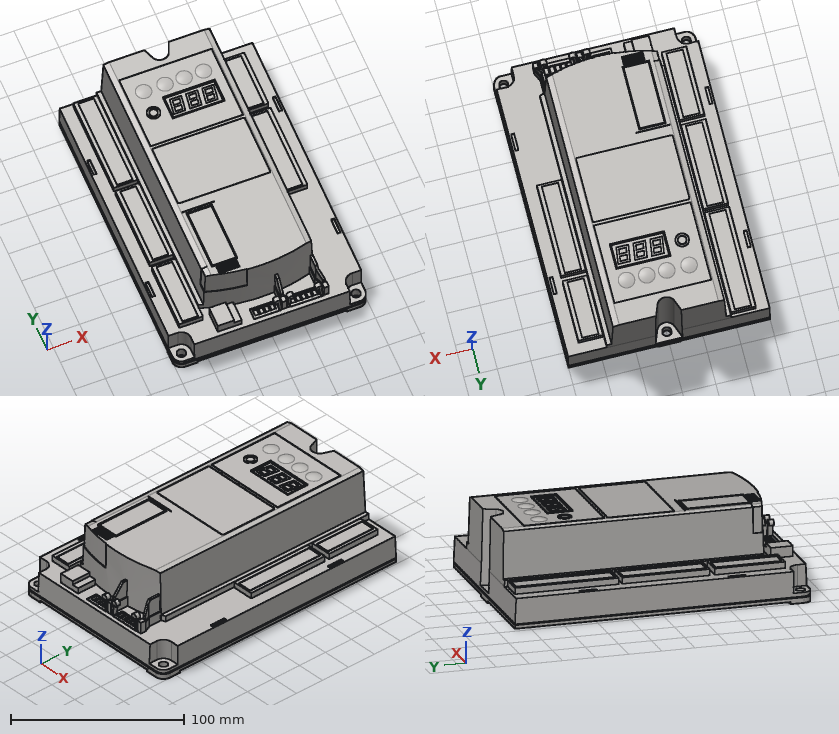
import cadquery as cq
import math

WIDTH = 120.0
LENGTH = 180.0
HEIGHT = 53.3
HALF_WIDTH = WIDTH / 2
HALF_LENGTH = LENGTH / 2

FOOT_HEIGHT = 1.3
SEAM_Z = 3.5
SEAM_HEIGHT = 0.5
SEAM_DEPTH = 0.4
LEDGE_Z = 6.5
BASE_TOP = 19.6
BASE_DRAFT = 0.7

MOUNT_X = 54.4
MOUNT_Y = 84.2
MOUNT_HOLE_D = 5.4
CORNER_RADIUS = HALF_WIDTH - MOUNT_X
LEDGE_RADIUS = 6.0
FOOT_SIZE = 13.5
ROUND_FOOT_D = 5.4
ROUND_FOOT_X = 39.6
ROUND_FOOT_Y = 8.0

SHOULDER_HALF_WIDTH = 37.0
SHOULDER_TOP = 23.4
HOUSING_HALF_WIDTH = 34.2
HOUSING_TOP = 52.7
HOUSING_DRAFT = 1.3
HOUSING_BACK = HALF_LENGTH - BASE_DRAFT
BEVEL_Z = 51.8
BEVEL_OUTER = 33.1
BEVEL_INNER = 29.5
PLAN_MARGIN = 1.8
PLAN_HALF_WIDTH = SHOULDER_HALF_WIDTH + PLAN_MARGIN
BOW_APEX_Y = -73.8
BOW_SAG = 6.5
BOW_RADIUS = (SHOULDER_HALF_WIDTH**2 + BOW_SAG**2) / (2 * BOW_SAG)

NOTCH_MOUTH = 8.1
NOTCH_THROAT = 4.9
NOTCH_THROAT_Y = 81.5
NOTCH_END_Y = 78.7

BLOCK_WIDTH = 14.8
BLOCK_INNER_X = 37.5
LEFT_BLOCKS = [(87.5, 25.0), (22.7, -30.0), (-33.1, -75.6)]
RIGHT_BLOCKS = [(82.6, 45.2), (42.0, -14.8)]
LABEL_WIDTH = 9.7
LABEL_END_MARGIN = 1.3
LABEL_DEPTH = 0.4

SIDE_SLOT_X = 57.8
SIDE_SLOT_WIDTH = 1.8
SIDE_SLOT_LENGTH = 10.3
SIDE_SLOT_DEPTH = 1.0
SIDE_SLOT_CENTERS = [45.2, -44.8]

PANEL_HALF_WIDTH = 28.8
PANEL_DEPTH = 0.4
PANEL_FLOOR = HOUSING_TOP - PANEL_DEPTH
CONTROL_PANEL = (74.9, 26.3)
BLANK_PANEL = (24.3, -16.0)
BLANK_PANEL_CORNER = 0.9

BUTTON_D = 9.5
BUTTON_Y = 62.8
BUTTON_CENTERS = [-18.5, -5.2, 6.7, 18.7]
LAMP_X = -18.5
LAMP_Y = 47.2
LAMP_RING_D = 8.0
LAMP_D = 5.0
LAMP_GROOVE_DEPTH = 0.5

DISPLAY_X = 6.5
DISPLAY_Y = 47.2
DISPLAY_WIDTH = 32.4
DISPLAY_LENGTH = 15.5
DISPLAY_STEP = 0.7
DISPLAY_STEP_DEPTH = 0.4
DISPLAY_STEPS = 2
DIGIT_PITCH = 10.0
DIGIT_WIDTH = 7.2
DIGIT_LENGTH = 10.0
DIGIT_SLANT = 1.5
STROKE = 1.5
DIGIT_HEIGHT = 0.2

DOOR_RIGHT = -8.8
DOOR_LEFT_Y = -62.1
DOOR_BOTTOM = 36.2
DOOR_RECESS = 0.4
DOOR_SEAM_Y = -22.5
DOOR_SEAM_WIDTH = 0.2
WINDOW = (-26.8, -11.0, -63.2, -24.0)
WINDOW_GROOVE = 0.5
WINDOW_DEPTH = 0.5
GRIP = (-24.5, -12.0, -69.1, -63.7)
GRIP_PITCH = 0.9
GRIP_GROOVE = 0.45
GRIP_DEPTH = 0.4

SOCKET_LEFT = -32.5
SOCKET_STEP_X = -22.3
SOCKET_RIGHT = -17.6
SOCKET_BACK = -73.0
FRONT_ROW_Y = -86.4
SOCKET_TOP = 26.0
HEADER_BACK = -79.2
HEADER_HEIGHT = 0.4
HEADERS = [(-9.9, 6.5, 4), (13.0, 33.5, 5)]
CELL_PITCH = 3.5
CELL_SIZE = 2.7
CELL_MARGIN = 1.5
CELL_LENGTH = 4.5
CELL_BACK_MARGIN = 0.7
CELL_DEPTH = 1.8

MIDDLE_FIN_X = 9.2
SIDE_FIN_X = 33.0
SIDE_FIN_TOE_SHIFT = 2.3
SIDE_HOOK_X = 32.4
FIN_THICKNESS = 1.6
FIN_TOP = 37.0
FIN_CREST_Y = -76.0
FIN_BEND_Y = -77.4
FIN_ROOT_Y = -68.4
POST_BACK = -82.3
POST_FRONT = -86.0
POST_WIDTH = 2.9
POST_TOP = 27.2
RIB_TOP = SOCKET_TOP
FIN_TOE_Z = 29.3
HOOK_BACK = -83.0
HOOK_TOP = 30.2
HOOK_GAP = 2.5
HOOK_STEM = 1.5
HOOK_LEAN = 0.7
BARB_REACH = 3.2
BARB_HEIGHT = 3.2


def block(x0, x1, y0, y1, z0, z1):
    """Box between two opposite corners."""
    return cq.Workplane("XY").box(x1 - x0, y1 - y0, z1 - z0, centered=False).translate((x0, y0, z0))


def bow_y(x):
    """Y of the bowed housing front at a given X."""
    return BOW_APEX_Y + BOW_RADIUS - math.sqrt(BOW_RADIUS**2 - x**2)


def rounded_slab(z0, z1, inset=0):
    """Full-size slab with rounded front corners, optionally shrunk inward."""
    x = HALF_WIDTH - inset
    y = HALF_LENGTH - inset
    return block(-x, x, -y, y, z0, z1).edges("|Z and <Y").fillet(CORNER_RADIUS - inset)


def make_base():
    seam_top = SEAM_Z + SEAM_HEIGHT
    top_half = HALF_LENGTH - BASE_DRAFT
    side_profile = (
        cq.Workplane("YZ", origin=(-HALF_WIDTH, 0, 0))
        .polyline(
            [
                (-HALF_LENGTH, FOOT_HEIGHT),
                (HALF_LENGTH, FOOT_HEIGHT),
                (HALF_LENGTH, seam_top),
                (top_half, BASE_TOP),
                (-top_half, BASE_TOP),
                (-HALF_LENGTH, seam_top),
            ]
        )
        .close()
        .extrude(WIDTH)
    )
    base = rounded_slab(FOOT_HEIGHT, BASE_TOP).intersect(side_profile)
    base = base.cut(rounded_slab(SEAM_Z, seam_top).cut(rounded_slab(SEAM_Z, seam_top, SEAM_DEPTH)))

    ledge_x = MOUNT_X - LEDGE_RADIUS
    ledge_y = MOUNT_Y - LEDGE_RADIUS
    relief = block(ledge_x, HALF_WIDTH, -HALF_LENGTH, -ledge_y, LEDGE_Z, BASE_TOP)
    relief = relief.edges("|Z and <X and >Y").fillet(LEDGE_RADIUS)
    return base.cut(relief).cut(relief.mirror("YZ"))


def make_feet():
    inner_x = HALF_WIDTH - FOOT_SIZE
    inner_y = HALF_LENGTH - FOOT_SIZE
    corner = block(inner_x, HALF_WIDTH, -HALF_LENGTH, -inner_y, 0, FOOT_HEIGHT)
    corner = corner.edges("|Z and >X and <Y").fillet(CORNER_RADIUS)
    back = block(-FOOT_SIZE / 2, FOOT_SIZE / 2, inner_y, HALF_LENGTH, 0, FOOT_HEIGHT)
    pads = (
        cq.Workplane("XY")
        .pushPoints([(-ROUND_FOOT_X, ROUND_FOOT_Y), (ROUND_FOOT_X, ROUND_FOOT_Y)])
        .circle(ROUND_FOOT_D / 2)
        .extrude(FOOT_HEIGHT)
    )
    return corner.union(corner.mirror("YZ")).union(back).union(pads)


def side_slots():
    centers = [(side * SIDE_SLOT_X, y) for side in (-1, 1) for y in SIDE_SLOT_CENTERS]
    return (
        cq.Workplane("XY", origin=(0, 0, BASE_TOP))
        .pushPoints(centers)
        .rect(SIDE_SLOT_WIDTH, SIDE_SLOT_LENGTH)
        .extrude(-SIDE_SLOT_DEPTH)
    )


def mounting_holes():
    return (
        cq.Workplane("XY")
        .pushPoints([(-MOUNT_X, -MOUNT_Y), (MOUNT_X, -MOUNT_Y), (0, MOUNT_Y)])
        .circle(MOUNT_HOLE_D / 2)
        .extrude(LEDGE_Z)
    )


def back_notch():
    return (
        cq.Workplane("XY", origin=(0, 0, LEDGE_Z))
        .moveTo(-NOTCH_MOUTH, HALF_LENGTH)
        .lineTo(-NOTCH_THROAT, NOTCH_THROAT_Y)
        .threePointArc((0, NOTCH_END_Y), (NOTCH_THROAT, NOTCH_THROAT_Y))
        .lineTo(NOTCH_MOUTH, HALF_LENGTH)
        .close()
        .extrude(HEIGHT - LEDGE_Z)
    )


def housing_shape(inset=0):
    """Housing on its shoulders; an inset shrinks the walls but not the flat roof."""
    shoulder = SHOULDER_HALF_WIDTH
    plan = (
        cq.Workplane("XY", origin=(0, 0, BASE_TOP))
        .moveTo(-PLAN_HALF_WIDTH, HOUSING_BACK)
        .lineTo(PLAN_HALF_WIDTH, HOUSING_BACK)
        .lineTo(PLAN_HALF_WIDTH, bow_y(PLAN_HALF_WIDTH) + inset)
        .threePointArc((0, BOW_APEX_Y + inset), (-PLAN_HALF_WIDTH, bow_y(PLAN_HALF_WIDTH) + inset))
        .close()
        .extrude(HOUSING_TOP - BASE_TOP, taper=HOUSING_DRAFT)
    )
    right_half = [
        (BEVEL_INNER, HOUSING_TOP),
        (BEVEL_OUTER - inset, BEVEL_Z),
        (HOUSING_HALF_WIDTH - inset, SHOULDER_TOP),
        (shoulder, SHOULDER_TOP),
        (shoulder, BASE_TOP),
    ]
    left_half = [(-x, z) for x, z in reversed(right_half)]
    section = (
        cq.Workplane("XZ", origin=(0, HALF_LENGTH, 0))
        .polyline(right_half + left_half)
        .close()
        .extrude(LENGTH)
    )
    return plan.intersect(section)


def make_housing():
    housing = housing_shape()
    skin = housing.cut(housing_shape(DOOR_RECESS))
    door_zone = block(-HALF_WIDTH, DOOR_RIGHT, -HALF_LENGTH, DOOR_LEFT_Y, DOOR_BOTTOM, HEIGHT)
    return housing.cut(skin.intersect(door_zone))


def panel_cuts():
    control = block(
        -PANEL_HALF_WIDTH, PANEL_HALF_WIDTH, CONTROL_PANEL[1], CONTROL_PANEL[0], PANEL_FLOOR, HOUSING_TOP
    )
    blank = block(
        -PANEL_HALF_WIDTH, PANEL_HALF_WIDTH, BLANK_PANEL[1], BLANK_PANEL[0], PANEL_FLOOR, HOUSING_TOP
    )
    return control.union(blank.edges("|Z").fillet(BLANK_PANEL_CORNER))


def door_cuts():
    """Door seam, groove round the card window and the ribbed thumb grip."""
    cuts = block(
        -PANEL_HALF_WIDTH,
        DOOR_RIGHT,
        DOOR_SEAM_Y,
        DOOR_SEAM_Y + DOOR_SEAM_WIDTH,
        HOUSING_TOP - DOOR_RECESS,
        HOUSING_TOP,
    )
    x0, x1, y0, y1 = WINDOW
    floor = HOUSING_TOP - WINDOW_DEPTH
    g = WINDOW_GROOVE
    frame = block(x0, x1, y0, y1, floor, HOUSING_TOP)
    card = block(x0 + g, x1 - g, y0 + g, y1 - g, floor, HOUSING_TOP)
    cuts = cuts.union(frame.cut(card))

    x0, x1, y0, y1 = GRIP
    for i in range(round((y1 - y0) / GRIP_PITCH)):
        y = y0 + i * GRIP_PITCH
        cuts = cuts.union(block(x0, x1, y, y + GRIP_GROOVE, HOUSING_TOP - GRIP_DEPTH, HOUSING_TOP))
    return cuts


def make_button(x):
    """Shallow spherical cap standing on the control panel."""
    rise = HEIGHT - PANEL_FLOOR
    radius = BUTTON_D / 2
    sphere_radius = (radius**2 + rise**2) / (2 * rise)
    ball = cq.Workplane("XY").sphere(sphere_radius).translate((x, BUTTON_Y, HEIGHT - sphere_radius))
    core = cq.Workplane("XY", origin=(x, BUTTON_Y, PANEL_FLOOR)).circle(BUTTON_D).extrude(rise)
    return ball.intersect(core)


def lamp_groove():
    return (
        cq.Workplane("XY", origin=(LAMP_X, LAMP_Y, PANEL_FLOOR))
        .circle(LAMP_RING_D / 2)
        .circle(LAMP_D / 2)
        .extrude(-LAMP_GROOVE_DEPTH)
    )


def display_recess():
    """Rectangular recess stepped inward as it deepens."""
    recess = None
    for i in range(DISPLAY_STEPS):
        shrink = 2 * DISPLAY_STEP * i
        step = (
            cq.Workplane("XY", origin=(DISPLAY_X, DISPLAY_Y, PANEL_FLOOR))
            .rect(DISPLAY_WIDTH - shrink, DISPLAY_LENGTH - shrink)
            .extrude(-DISPLAY_STEP_DEPTH * (i + 1))
        )
        recess = step if recess is None else recess.union(step)
    return recess


def make_digit(x):
    """Slanted figure eight on the display floor."""
    floor = PANEL_FLOOR - DISPLAY_STEPS * DISPLAY_STEP_DEPTH

    def slanted(x0, x1, y0, y1):
        lean = DIGIT_SLANT / DIGIT_LENGTH
        corners = [(x0, y0), (x1, y0), (x1, y1), (x0, y1)]
        points = [(px + lean * py, py) for px, py in corners]
        plane = cq.Workplane("XY", origin=(x, DISPLAY_Y, floor))
        return plane.polyline(points).close().extrude(DIGIT_HEIGHT)

    half_w = DIGIT_WIDTH / 2
    half_l = DIGIT_LENGTH / 2
    inner_x = half_w - STROKE
    digit = slanted(-half_w, half_w, -half_l, half_l)
    digit = digit.cut(slanted(-inner_x, inner_x, STROKE / 2, half_l - STROKE))
    return digit.cut(slanted(-inner_x, inner_x, STROKE - half_l, -STROKE / 2))


def make_terminal_block(side, back, front):
    """Terminal block on one side (-1 left, +1 right) with a sunken label strip."""
    outer = block(BLOCK_INNER_X, BLOCK_INNER_X + BLOCK_WIDTH, front, back, BASE_TOP, SHOULDER_TOP)
    label_x = BLOCK_INNER_X + (BLOCK_WIDTH - LABEL_WIDTH) / 2
    label = block(
        label_x,
        label_x + LABEL_WIDTH,
        front + LABEL_END_MARGIN,
        back - LABEL_END_MARGIN,
        SHOULDER_TOP - LABEL_DEPTH,
        SHOULDER_TOP,
    )
    terminal = outer.cut(label)
    return terminal if side > 0 else terminal.mirror("YZ")


def make_socket():
    tall = block(SOCKET_LEFT, SOCKET_STEP_X, FRONT_ROW_Y, SOCKET_BACK, BASE_TOP, SOCKET_TOP)
    low = block(SOCKET_STEP_X, SOCKET_RIGHT, FRONT_ROW_Y, SOCKET_BACK, BASE_TOP, SHOULDER_TOP)
    return tall.union(low)


def make_header(x0, x1):
    return block(x0, x1, FRONT_ROW_Y, HEADER_BACK, BASE_TOP, BASE_TOP + HEADER_HEIGHT)


def header_cells(x0, count):
    top = BASE_TOP + HEADER_HEIGHT
    back = HEADER_BACK - CELL_BACK_MARGIN
    cells = cq.Workplane("XY")
    for i in range(count):
        x = x0 + CELL_MARGIN + i * CELL_PITCH
        cells = cells.union(block(x, x + CELL_SIZE, back - CELL_LENGTH, back, top - CELL_DEPTH, top))
    return cells


def make_fin(x, toe_shift):
    """Sloped fin on a thicker rib, running from the housing to a post; its toe may bend sideways."""

    def bent_wall(thickness, top):
        half = thickness / 2
        return (
            cq.Workplane("XY", origin=(x, 0, BASE_TOP))
            .polyline(
                [
                    (-half, FIN_ROOT_Y),
                    (half, FIN_ROOT_Y),
                    (half, FIN_BEND_Y),
                    (half + toe_shift, POST_BACK),
                    (-half + toe_shift, POST_BACK),
                    (-half, FIN_BEND_Y),
                ]
            )
            .close()
            .extrude(top - BASE_TOP)
        )

    profile = (
        cq.Workplane("YZ", origin=(-HALF_WIDTH, 0, 0))
        .polyline(
            [
                (FIN_ROOT_Y, BASE_TOP),
                (FIN_ROOT_Y, FIN_TOP),
                (FIN_CREST_Y, FIN_TOP),
                (POST_BACK, FIN_TOE_Z),
                (POST_BACK, BASE_TOP),
            ]
        )
        .close()
        .extrude(WIDTH)
    )
    post_x = x + toe_shift
    post = block(post_x - POST_WIDTH / 2, post_x + POST_WIDTH / 2, POST_FRONT, POST_BACK, BASE_TOP, POST_TOP)
    fin = bent_wall(FIN_THICKNESS, FIN_TOP).intersect(profile)
    return fin.union(bent_wall(POST_WIDTH, RIB_TOP)).union(post)


def make_hook(x, direction):
    """Snap hook whose rounded barb points along X in the given direction."""
    stem_half = HOOK_STEM / 2
    tip_z = HOOK_TOP - BARB_HEIGHT
    return (
        cq.Workplane("XZ", origin=(x, HOOK_BACK, 0))
        .moveTo(-direction * stem_half, BASE_TOP)
        .lineTo(direction * stem_half, BASE_TOP)
        .lineTo(direction * (stem_half + HOOK_LEAN), tip_z)
        .lineTo(direction * BARB_REACH, tip_z)
        .threePointArc(
            (direction * (BARB_REACH + HOOK_LEAN) / 2, HOOK_TOP),
            (direction * (HOOK_LEAN - stem_half), tip_z),
        )
        .close()
        .extrude(HOOK_BACK - POST_FRONT)
    )


result = make_base().union(make_feet()).union(make_housing())
result = result.cut(panel_cuts()).cut(door_cuts())
result = result.cut(lamp_groove()).cut(display_recess())
for index in (-1, 0, 1):
    result = result.union(make_digit(DISPLAY_X + index * DIGIT_PITCH))
for button_x in BUTTON_CENTERS:
    result = result.union(make_button(button_x))

for back_y, front_y in LEFT_BLOCKS:
    result = result.union(make_terminal_block(-1, back_y, front_y))
for back_y, front_y in RIGHT_BLOCKS:
    result = result.union(make_terminal_block(1, back_y, front_y))

result = result.union(make_socket())
for left, right, pin_count in HEADERS:
    result = result.union(make_header(left, right)).cut(header_cells(left, pin_count))

result = result.union(make_fin(MIDDLE_FIN_X, 0)).union(make_fin(SIDE_FIN_X, SIDE_FIN_TOE_SHIFT))
result = result.union(make_hook(MIDDLE_FIN_X - HOOK_GAP, -1)).union(make_hook(MIDDLE_FIN_X + HOOK_GAP, 1))
result = result.union(make_hook(SIDE_HOOK_X, -1))

result = result.cut(back_notch()).cut(side_slots()).cut(mounting_holes())